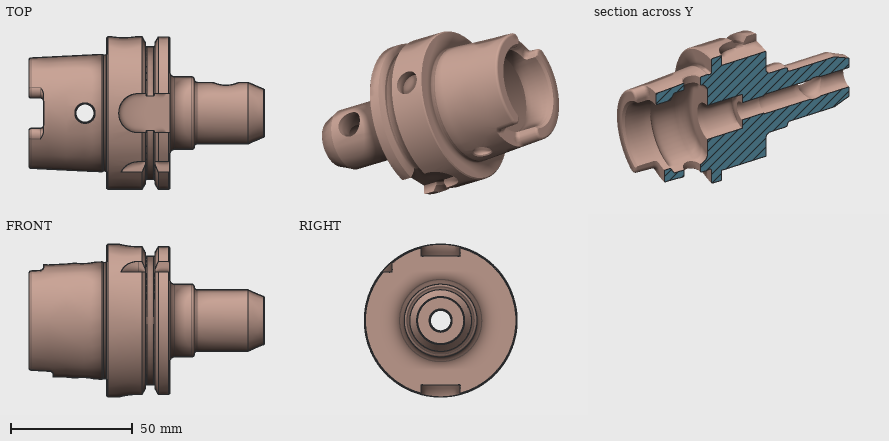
import cadquery as cq
import math

total_length = 97.0
flange_start = 32.0
flange_end = 58.0
flange_radius = 63.0 / 2

taper_gauge_radius = 48.0 / 2
taper_gauge_x = 25.7
taper_end = 30.1
taper_slope = 1 / 20
taper_small_radius = taper_gauge_radius - taper_gauge_x * taper_slope
taper_large_radius = taper_gauge_radius + (taper_end - taper_gauge_x) * taper_slope
rim_round = 1.0
relief_radius = 24.0
relief_start = 30.75
relief_fillet = 0.6

flange_edge = 0.5
groove_radius = 54.8 / 2
groove_left_wall = 48.0
groove_right_wall = 51.8
groove_side_run = 1.5
groove_side_drop = groove_side_run * math.tan(math.radians(60))
groove_lip_radius = flange_radius - groove_side_drop
groove_fillet = 0.5

collar_radius = 30.0 / 2
collar_end = 68.1
collar_root_fillet = 1.9
nose_radius = 25.4 / 2
step_round = (collar_radius - nose_radius) / 2
nose_cone_start = 90.1
nose_tip_radius = 19.0 / 2
nose_tip_chamfer = 0.4

mouth_radius = 34.0 / 2
mouth_chamfer = 1.0
cavity_radius = 40.0 / 2
clamp_lip_end = 12.9
clamp_cone_end = clamp_lip_end + (cavity_radius - mouth_radius) / math.tan(math.radians(60))
cavity_wall_end = 26.0
cavity_floor_radius = 15.7
cavity_corner = cavity_radius - cavity_floor_radius
cavity_end = cavity_wall_end + cavity_corner
tube_bore_radius = 16.9 / 2
tube_bore_end = 46.6
coolant_bore_radius = 8.4 / 2
tool_bore_radius = 9.5 / 2
tool_bore_start = 57.0

key_half_width = 6.2
key_floor_fillet = 1.4
key_edge_round = 3.0
top_key_depth = 6.0
bottom_key_depth = 10.0
pick_gap = 0.1

cutter_radius = 8.05
cutter_center = 45.0
drive_floor = 26.5
notch_offset = 20.0

cross_hole_x = 23.1
cross_hole_diameter = 7.5
cross_hole_chamfer_diameter = 8.4
chip_hole_x = 39.0
chip_hole_diameter = 10.0
chip_hole_depth = 4.6
screw_hole_x = 81.1
screw_hole_diameter = 10.8


def turn(profile):
    """Revolve a closed (x, radius) profile about the X axis."""
    return profile.close().revolve(360, (0, 0, 0), (1, 0, 0))


def fillet_arc(profile, end, center, radius, angle):
    """Add a quarter arc to `end`; `angle` points from the center to the middle of the arc."""
    middle = (
        center[0] + radius * math.cos(math.radians(angle)),
        center[1] + radius * math.sin(math.radians(angle)),
    )
    return profile.threePointArc(middle, end)


def outer_body():
    p = cq.Workplane("XY").moveTo(0, 0).lineTo(0, taper_small_radius)
    p = p.lineTo(taper_end, taper_large_radius)
    p = p.lineTo(relief_start, relief_radius).lineTo(flange_start - relief_fillet, relief_radius)
    p = fillet_arc(
        p,
        (flange_start, relief_radius + relief_fillet),
        (flange_start - relief_fillet, relief_radius + relief_fillet),
        relief_fillet,
        -45,
    )
    p = p.lineTo(flange_start, flange_radius - flange_edge)
    p = p.lineTo(flange_start + flange_edge, flange_radius)
    p = p.lineTo(groove_left_wall - groove_side_run, flange_radius)
    p = p.lineTo(groove_left_wall, groove_lip_radius)
    p = p.lineTo(groove_left_wall, groove_radius + groove_fillet)
    p = fillet_arc(
        p,
        (groove_left_wall + groove_fillet, groove_radius),
        (groove_left_wall + groove_fillet, groove_radius + groove_fillet),
        groove_fillet,
        -135,
    )
    p = p.lineTo(groove_right_wall - groove_fillet, groove_radius)
    p = fillet_arc(
        p,
        (groove_right_wall, groove_radius + groove_fillet),
        (groove_right_wall - groove_fillet, groove_radius + groove_fillet),
        groove_fillet,
        -45,
    )
    p = p.lineTo(groove_right_wall, groove_lip_radius)
    p = p.lineTo(groove_right_wall + groove_side_run, flange_radius)
    p = p.lineTo(flange_end - flange_edge, flange_radius)
    p = p.lineTo(flange_end, flange_radius - flange_edge)
    p = p.lineTo(flange_end, collar_radius + collar_root_fillet)
    p = fillet_arc(
        p,
        (flange_end + collar_root_fillet, collar_radius),
        (flange_end + collar_root_fillet, collar_radius + collar_root_fillet),
        collar_root_fillet,
        -135,
    )
    p = p.lineTo(collar_end - step_round, collar_radius)
    p = fillet_arc(
        p,
        (collar_end, collar_radius - step_round),
        (collar_end - step_round, collar_radius - step_round),
        step_round,
        45,
    )
    p = fillet_arc(
        p,
        (collar_end + step_round, nose_radius),
        (collar_end + step_round, nose_radius + step_round),
        step_round,
        -135,
    )
    p = p.lineTo(nose_cone_start, nose_radius)
    p = p.lineTo(total_length - nose_tip_chamfer, nose_tip_radius + nose_tip_chamfer)
    p = p.lineTo(total_length, nose_tip_radius).lineTo(total_length, 0)
    return turn(p)


def bore():
    p = cq.Workplane("XY").moveTo(0, 0).lineTo(0, mouth_radius + mouth_chamfer)
    p = p.lineTo(mouth_chamfer, mouth_radius).lineTo(clamp_lip_end, mouth_radius)
    p = p.lineTo(clamp_cone_end, cavity_radius).lineTo(cavity_wall_end, cavity_radius)
    p = fillet_arc(
        p,
        (cavity_end, cavity_floor_radius),
        (cavity_wall_end, cavity_floor_radius),
        cavity_corner,
        45,
    )
    p = p.lineTo(cavity_end, tube_bore_radius).lineTo(tube_bore_end, tube_bore_radius)
    p = p.lineTo(tube_bore_end, coolant_bore_radius).lineTo(tool_bore_start, coolant_bore_radius)
    p = p.lineTo(tool_bore_start, tool_bore_radius).lineTo(total_length, tool_bore_radius)
    return turn(p.lineTo(total_length, 0))


def edges_between(body, low, high):
    """Edges of `body` whose centers lie in the box between two corner points."""
    return body.edges(cq.selectors.BoxSelector(low, high))


def cut_key_slot(body, depth, side):
    """Cut a slot from the axis outward and round its outer corners; `side` is +1 or -1 along Z."""
    slot = cq.Workplane("YZ").center(0, side * flange_radius / 2)
    body = body.cut(slot.rect(2 * key_half_width, flange_radius).extrude(depth))
    for wall in (-key_half_width, key_half_width):
        low = (depth / 4, wall - pick_gap, side * mouth_radius)
        high = (depth * 3 / 4, wall + pick_gap, side * flange_radius)
        body = edges_between(body, low, high).fillet(key_edge_round)
    return body


def round_key_floor(body, depth, side):
    """Fillet the floor of a key slot along both walls and their rounded corners."""
    corner_height = taper_small_radius - key_edge_round / 2
    for hand in (-1, 1):
        low = (depth - pick_gap, hand * (key_half_width - pick_gap), 0)
        high = (depth + pick_gap, hand * (key_half_width + key_edge_round), side * corner_height)
        body = edges_between(body, low, high).fillet(key_floor_fillet)
    return body


def milled_slot(center_y, floor):
    """Round-ended slot cut down to `floor` that runs out through the +X face of the flange."""
    slot = cq.Workplane("XY", origin=(cutter_center, center_y, floor))
    slot = slot.moveTo(0, cutter_radius).threePointArc((-cutter_radius, 0), (0, -cutter_radius))
    slot = slot.hLineTo(flange_end - cutter_center).vLineTo(cutter_radius).close()
    return slot.extrude(flange_radius - floor)


def hole_tool(plane, x, diameter, start, end):
    """Cylinder across the axis at `x`, from `start` to `end` along the normal of `plane`."""
    tool = cq.Workplane(plane).workplane(offset=start).center(x, 0)
    return tool.circle(diameter / 2).extrude(end - start)


result = outer_body()

key_slots = ((top_key_depth, 1), (bottom_key_depth, -1))
for depth, side in key_slots:
    result = cut_key_slot(result, depth, side)
result = result.faces("<X").edges().fillet(rim_round)
for depth, side in key_slots:
    result = round_key_floor(result, depth, side)
result = result.cut(bore())

drive_slot = milled_slot(0, drive_floor)
result = result.cut(drive_slot).cut(drive_slot.rotate((0, 0, 0), (1, 0, 0), 180))
result = result.cut(milled_slot(-notch_offset - cutter_radius, notch_offset))

chip_floor = flange_radius - chip_hole_depth
result = result.cut(hole_tool("XZ", chip_hole_x, chip_hole_diameter, -flange_radius, -chip_floor))
result = result.cut(hole_tool("XZ", screw_hole_x, screw_hole_diameter, -nose_radius, 0))

result = result.cut(
    hole_tool("XY", cross_hole_x, cross_hole_diameter, -flange_radius, flange_radius)
)
for side in (-1, 1):
    low = (cross_hole_x - cross_hole_diameter, -cross_hole_diameter, side * cavity_radius)
    high = (cross_hole_x + cross_hole_diameter, cross_hole_diameter, side * flange_radius)
    hole_rim = edges_between(result, low, high).edges("not %LINE")
    result = hole_rim.chamfer((cross_hole_chamfer_diameter - cross_hole_diameter) / 2)